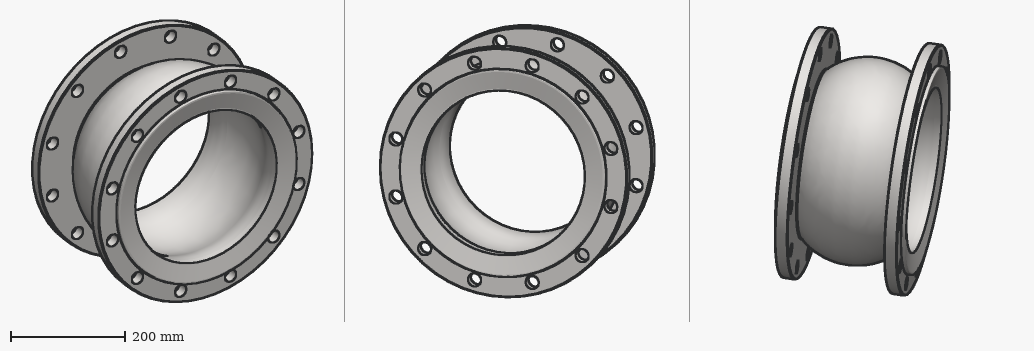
import cadquery as cq
import math

length = 234.0
half_length = length / 2

flange_diameter = 445.0
flange_thickness = 23.0
flange_setback = 7.5
flange_bore_diameter = 302.5
recess_diameter = 370.0
recess_depth = 11.5
rim_chamfer = 1.55
recess_chamfer = 1.1
bolt_count = 12
bolt_hole_diameter = 23.0
bolt_circle_diameter = 400.5

flange_outer_x = half_length - flange_setback
flange_inner_x = flange_outer_x - flange_thickness
recess_floor_x = flange_outer_x - recess_depth

bead_radius = recess_diameter / 2
neck_radius = flange_bore_diameter / 2
neck_overhang = 2.5
bulge_radius = 368.0 / 2
lip_fillet = 1.0

bore_radius = 147.0
bore_length = 12.5
dish_outer_radius = 181.0
dish_inner_radius = 150.0
dish_depth = 6.2
flare_end_x = 62.0
flare_end_radius = 154.5

bulge_start_x = flange_inner_x - neck_overhang

dish_floor_x = half_length - dish_depth
bore_end_x = dish_floor_x - bore_length
flare_length = bore_end_x - flare_end_x
flare_rise = flare_end_radius - bore_radius
flare_radius = (flare_length**2 + flare_rise**2) / (2 * flare_rise)
flare_angle = math.asin(flare_length / flare_radius)
inner_arc_radius = flare_end_x / math.sin(flare_angle)
inner_crown_radius = flare_end_radius + inner_arc_radius * (1 - math.cos(flare_angle))


def at(x, radius):
    """Sketch point at a distance from the X axis; sketches lie on the -Z side."""
    return (x, -radius)


def make_bellows():
    """Rubber body: bulge, necks, and a bead with a protruding, dished lip at each end."""
    profile = (
        cq.Workplane("XZ")
        .moveTo(*at(-bulge_start_x, neck_radius))
        .threePointArc(at(0, bulge_radius), at(bulge_start_x, neck_radius))
        .lineTo(*at(recess_floor_x, neck_radius))
        .lineTo(*at(recess_floor_x, bead_radius))
        .lineTo(*at(half_length - lip_fillet, bead_radius))
        .radiusArc(at(half_length, bead_radius - lip_fillet), -lip_fillet)
        .lineTo(*at(half_length, dish_outer_radius))
        .lineTo(*at(dish_floor_x, dish_inner_radius))
        .lineTo(*at(dish_floor_x, bore_radius))
        .lineTo(*at(bore_end_x, bore_radius))
        .radiusArc(at(flare_end_x, flare_end_radius), -flare_radius)
        .threePointArc(at(0, inner_crown_radius), at(-flare_end_x, flare_end_radius))
        .radiusArc(at(-bore_end_x, bore_radius), -flare_radius)
        .lineTo(*at(-dish_floor_x, bore_radius))
        .lineTo(*at(-dish_floor_x, dish_inner_radius))
        .lineTo(*at(-half_length, dish_outer_radius))
        .lineTo(*at(-half_length, bead_radius - lip_fillet))
        .radiusArc(at(-half_length + lip_fillet, bead_radius), -lip_fillet)
        .lineTo(*at(-recess_floor_x, bead_radius))
        .lineTo(*at(-recess_floor_x, neck_radius))
        .close()
    )
    return profile.revolve(360, (0, 0, 0), (1, 0, 0))


def make_flange(side):
    """Bolted ring with a bead recess in its outer face; side is -1 or +1 along X."""
    ring = (
        cq.Workplane("YZ", origin=(flange_inner_x, 0, 0))
        .circle(flange_diameter / 2)
        .extrude(flange_thickness)
        .faces("|X")
        .chamfer(rim_chamfer)
    )
    bore = (
        cq.Workplane("YZ", origin=(flange_inner_x, 0, 0))
        .circle(flange_bore_diameter / 2)
        .extrude(flange_thickness)
    )
    recess = (
        cq.Workplane("YZ", origin=(recess_floor_x, 0, 0))
        .circle(recess_diameter / 2)
        .extrude(recess_depth)
    )
    bolt_holes = (
        cq.Workplane("YZ", origin=(flange_inner_x, 0, 0))
        .polarArray(bolt_circle_diameter / 2, 180 / bolt_count, 360, bolt_count)
        .circle(bolt_hole_diameter / 2)
        .extrude(flange_thickness)
    )
    flange = ring.cut(bore).cut(recess)
    recess_mouth = cq.selectors.RadiusNthSelector(0)
    flange = flange.faces(">X").edges(recess_mouth).chamfer(recess_chamfer)
    flange = flange.cut(bolt_holes)
    return flange if side > 0 else flange.mirror("YZ")


bellows = make_bellows()
flanges = [make_flange(side) for side in (-1, 1)]

result = cq.Compound.makeCompound([bellows.val(), *[flange.val() for flange in flanges]])